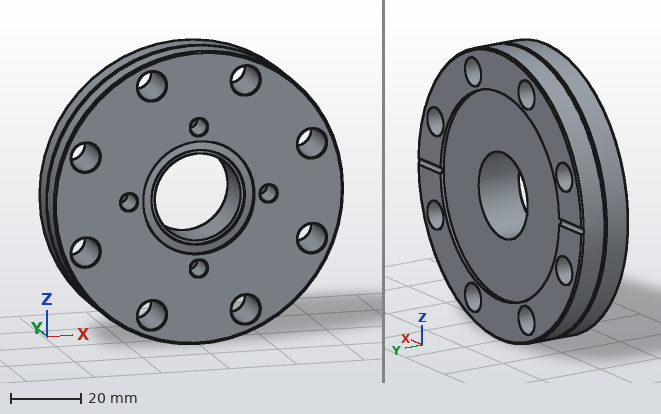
import cadquery as cq

disc_diameter = 85.7
thickness = 16.0
disc_chamfer = 0.5
rim_groove_width = 0.85
rim_groove_depth = 0.4

bore_diameter = 25.4
socket_floor_diameter = 27.4
socket_floor_depth = 1.2
lip_diameter = 27.7
lip_depth = 0.7
weld_recess_diameter = 33.0
weld_recess_depth = 1.3

gasket_recess_diameter = 61.7
gasket_recess_depth = 1.1
leak_groove_width = 1.9
leak_groove_depth = 0.7

bolt_count = 8
bolt_circle_diameter = 72.5
bolt_hole_diameter = 8.4
bolt_hole_chamfer = 0.25
blind_count = 4
blind_circle_diameter = 41.3
blind_hole_diameter = 4.9
blind_hole_chamfer = 0.25
blind_hole_depth = 10.3

front_y = -thickness / 2
back_y = thickness / 2
bore_radius = bore_diameter / 2


def flange_disc():
    """Disc turned around Y, with its bore, rim groove, weld lip, socket and gasket recess."""
    disc_radius = disc_diameter / 2
    groove_radius = disc_radius - rim_groove_depth
    half_groove = rim_groove_width / 2
    recess_radius = weld_recess_diameter / 2
    gasket_radius = gasket_recess_diameter / 2
    socket_floor_y = front_y + socket_floor_depth
    lip_y = front_y + lip_depth
    recess_floor_y = front_y + weld_recess_depth
    gasket_floor_y = back_y - gasket_recess_depth
    return (
        cq.Workplane("XY")
        .moveTo(bore_radius, socket_floor_y)
        .lineTo(socket_floor_diameter / 2, socket_floor_y)
        .lineTo(lip_diameter / 2, lip_y)
        .lineTo(recess_radius, recess_floor_y)
        .lineTo(recess_radius, front_y)
        .lineTo(disc_radius - disc_chamfer, front_y)
        .lineTo(disc_radius, front_y + disc_chamfer)
        .lineTo(disc_radius, -half_groove)
        .lineTo(groove_radius, -half_groove)
        .lineTo(groove_radius, half_groove)
        .lineTo(disc_radius, half_groove)
        .lineTo(disc_radius, back_y - disc_chamfer)
        .lineTo(disc_radius - disc_chamfer, back_y)
        .lineTo(gasket_radius, back_y)
        .lineTo(gasket_radius, gasket_floor_y)
        .lineTo(bore_radius, gasket_floor_y)
        .close()
        .revolve(360, (0, 0, 0), (0, 1, 0))
    )


def hole_cutter(diameter, depth, chamfer):
    """Drill shape on the Y axis, entering the front face with a chamfered mouth."""
    radius = diameter / 2
    return (
        cq.Workplane("XY")
        .moveTo(0, front_y)
        .lineTo(radius + chamfer, front_y)
        .lineTo(radius, front_y + chamfer)
        .lineTo(radius, front_y + depth)
        .lineTo(0, front_y + depth)
        .close()
        .revolve(360, (0, 0, 0), (0, 1, 0))
    )


def cut_hole_circle(body, cutter, circle_diameter, count, first_angle):
    """Cut equally spaced copies of the cutter around the Y axis."""
    first_cutter = cutter.translate((circle_diameter / 2, 0, 0))
    for index in range(count):
        angle = first_angle + index * 360 / count
        body = body.cut(first_cutter.rotate((0, 0, 0), (0, 1, 0), angle))
    return body


def leak_groove():
    """Round-bottomed groove across the full back face along X."""
    half_width = leak_groove_width / 2
    return (
        cq.Workplane("YZ")
        .moveTo(back_y, half_width)
        .threePointArc((back_y - leak_groove_depth, 0), (back_y, -half_width))
        .close()
        .extrude(disc_diameter / 2, both=True)
    )


bolt_hole = hole_cutter(bolt_hole_diameter, thickness, bolt_hole_chamfer)
blind_hole = hole_cutter(blind_hole_diameter, blind_hole_depth, blind_hole_chamfer)

result = flange_disc()
result = cut_hole_circle(result, bolt_hole, bolt_circle_diameter, bolt_count, 180 / bolt_count)
result = cut_hole_circle(result, blind_hole, blind_circle_diameter, blind_count, 0)
result = result.cut(leak_groove())